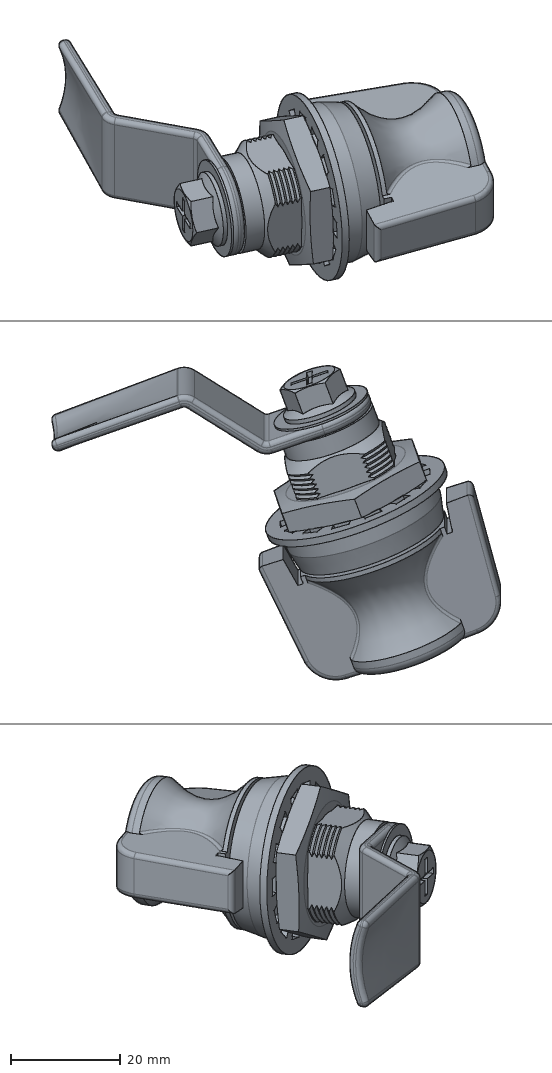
import cadquery as cq
import math


OVERALL_DEPTH = 63.0
TOLERANCE = 0.01

KNOB_TOP = 30.95
HEAD_RADIUS = 11.9
HEAD_ROUND = 1.8
HEAD_BOTTOM = 27.7
WAIST_RADIUS = 8.8
WAIST_Y = 19.85
BASE_RADIUS = 14.05
BASE_TOP = 10.35
BASE_BOTTOM = 9.45

WING_SPAN = 41.95
WING_BOTTOM = 5.3
WING_SHOULDER_X = 12.75
WING_SHOULDER_Y = 25.5
WING_SHOULDER_WIDTH = 19.1
WING_SLOT_TOP = 10.9
WING_SLOT_TOP_X = 15.1
WING_SLOT_BOTTOM_X = 15.9
WING_ROOT_HALF_THICKNESS = 6.1
WING_TIP_HALF_THICKNESS = 4.1
WING_EDGE_ROUND = 0.95
WING_JOINT_ROUND = 0.7

NECK_RADIUS = 10.55
COLLAR_TOP = 8.8
COLLAR_TOP_RADIUS = 14.1
COLLAR_SHOULDER_Y = 4.8
COLLAR_RADIUS = 15.0

GASKET_RADIUS = 17.5
GASKET_THICKNESS = 1.4
GASKET_TURN = 1.5
SLOT_COUNT = 14
SLOT_WIDTH = 3.45
SLOT_LENGTH = 2.1
SLOT_OUTER_REACH = 14.6

THREAD_RADIUS = 11.0
THREAD_DEPTH = 0.4
THREAD_PITCH = 0.95
THREAD_GROOVES = 5
BARREL_FLAT = 19.0
BARREL_CONE_Y = -10.1

SHAFT_RADIUS = 9.1
BARREL_END = BARREL_CONE_Y - (THREAD_RADIUS - SHAFT_RADIUS)

NUT_FLATS = 27.0
NUT_HEIGHT = 5.0
NUT_TURN = 35.6
NUT_BORE = 9.8
NUT_FACE_RADIUS = 11.65
NUT_CORNER_DROP = 0.6
NUT_CORNER_RADIUS = NUT_FLATS / math.sqrt(3)

CAM_TOP = -15.7
CAM_THICKNESS = 2.4
CAM_WIDTH = 2 * SHAFT_RADIUS
CAM_UPPER_BEND_X = -11.4
CAM_LOWER_BEND_X = -21.85
CAM_BOTTOM = KNOB_TOP - OVERALL_DEPTH
CAM_INNER_BEND = 1.0
CAM_BLADE_START = -23.1
CAM_TIP_X = -48.0
CAM_TIP_WIDTH = 16.8
CAM_TIP_RISE = 1.85
CAM_EDGE_ROUND = 0.95

WASHER_THICKNESS = 0.4
SCREW_FLANGE_RADIUS = 6.95
SCREW_FLANGE_RIM = 0.8
SCREW_FLANGE_CONE = 0.95
HEX_FLATS = 10.2
HEX_END = -24.6
HEX_CHAMFER_RADIUS = 4.95
HEX_CHAMFER_DROP = 0.4
CROSS_LENGTH = 7.2
CROSS_WIDTH = 1.1
CROSS_DEPTH = 1.0


def turned(points):
    """Solid of revolution about the Y axis from (radius, y) points."""
    return cq.Workplane("XY").polyline(points).close().revolve(360, (0, 0), (0, 1))


def across_axis(y):
    """Workplane square to the lock axis, facing -Y."""
    return cq.Workplane("XZ", origin=(0, y, 0))


def knob():
    round_start = KNOB_TOP - HEAD_ROUND
    slant = HEAD_ROUND * (1 - math.sqrt(0.5))
    return (
        cq.Workplane("XY")
        .moveTo(0, KNOB_TOP)
        .lineTo(HEAD_RADIUS - HEAD_ROUND, KNOB_TOP)
        .threePointArc((HEAD_RADIUS - slant, KNOB_TOP - slant), (HEAD_RADIUS, round_start))
        .lineTo(HEAD_RADIUS, HEAD_BOTTOM)
        .spline([(WAIST_RADIUS, WAIST_Y), (BASE_RADIUS, BASE_TOP)], includeCurrent=True)
        .lineTo(BASE_RADIUS, BASE_BOTTOM)
        .lineTo(0, BASE_BOTTOM)
        .close()
        .revolve(360, (0, 0), (0, 1))
    )


def wing():
    """The +X wing, thinning from the axis to its outer edge."""
    half_span = WING_SPAN / 2
    plan = (
        cq.Workplane("XY")
        .moveTo(0, KNOB_TOP)
        .lineTo(WING_SHOULDER_X, KNOB_TOP)
        .tangentArcPoint((WING_SHOULDER_WIDTH, WING_SHOULDER_Y), relative=False)
        .lineTo(half_span, WING_BOTTOM)
        .lineTo(WING_SLOT_BOTTOM_X, WING_BOTTOM)
        .lineTo(WING_SLOT_TOP_X, WING_SLOT_TOP)
        .lineTo(BASE_RADIUS, WING_SLOT_TOP)
        .lineTo(BASE_RADIUS, BASE_BOTTOM)
        .lineTo(0, BASE_BOTTOM)
        .close()
        .extrude(WING_ROOT_HALF_THICKNESS, both=True)
    )
    taper = (
        across_axis(KNOB_TOP)
        .polyline([
            (0, WING_ROOT_HALF_THICKNESS),
            (half_span, WING_TIP_HALF_THICKNESS),
            (half_span, -WING_TIP_HALF_THICKNESS),
            (0, -WING_ROOT_HALF_THICKNESS),
        ])
        .close()
        .extrude(KNOB_TOP - WING_BOTTOM)
    )
    body = plan.intersect(taper)
    rim = body.edges().filter(is_wing_rim)
    return rim.fillet(WING_EDGE_ROUND)


def is_wing_rim(edge):
    """True for the edges along the top, shoulder, outer side and outer bottom corner of a wing."""
    center = edge.Center()
    on_side = abs(center.z) > WING_TIP_HALF_THICKNESS / 2
    on_outside = center.x > WING_SHOULDER_WIDTH or center.y > WING_SHOULDER_Y
    at_bottom = center.y < WING_BOTTOM + TOLERANCE
    at_outer_corner = center.x > WING_SPAN / 2 - TOLERANCE
    return (on_side and on_outside and not at_bottom) or at_outer_corner


def collar():
    return turned([
        (0, BASE_BOTTOM),
        (NECK_RADIUS, BASE_BOTTOM),
        (NECK_RADIUS, COLLAR_TOP),
        (COLLAR_TOP_RADIUS, COLLAR_TOP),
        (COLLAR_RADIUS, COLLAR_SHOULDER_Y),
        (COLLAR_RADIUS, GASKET_THICKNESS),
        (0, GASKET_THICKNESS),
    ])


def barrel():
    """Threaded barrel with four flats; the thread is a row of V grooves beyond the nut."""
    outline = [(0, GASKET_THICKNESS), (THREAD_RADIUS, GASKET_THICKNESS)]
    groove_start = BARREL_CONE_Y + THREAD_GROOVES * THREAD_PITCH
    for groove in range(THREAD_GROOVES):
        top = groove_start - groove * THREAD_PITCH
        outline.append((THREAD_RADIUS, top))
        outline.append((THREAD_RADIUS - THREAD_DEPTH, top - THREAD_PITCH / 2))
    outline += [(THREAD_RADIUS, BARREL_CONE_Y), (SHAFT_RADIUS, BARREL_END), (0, BARREL_END)]
    flats = (
        across_axis(GASKET_THICKNESS)
        .rect(BARREL_FLAT, BARREL_FLAT)
        .extrude(GASKET_THICKNESS - BARREL_END)
    )
    return turned(outline).intersect(flats)


def shaft_and_washer():
    end = CAM_TOP - CAM_THICKNESS - WASHER_THICKNESS
    shaft = across_axis(BARREL_END).circle(SHAFT_RADIUS).extrude(BARREL_END - CAM_TOP)
    washer = across_axis(end + WASHER_THICKNESS).circle(SHAFT_RADIUS).extrude(WASHER_THICKNESS)
    return shaft.union(washer)


def screw():
    seat = CAM_TOP - CAM_THICKNESS - WASHER_THICKNESS
    rim = seat - SCREW_FLANGE_RIM
    hex_start = rim - SCREW_FLANGE_CONE
    corner = HEX_FLATS / math.sqrt(3)
    flange = turned([
        (0, seat),
        (SCREW_FLANGE_RADIUS, seat),
        (SCREW_FLANGE_RADIUS, rim),
        (HEX_FLATS / 2, hex_start),
        (0, hex_start),
    ])
    head = across_axis(seat).polygon(6, 2 * corner).extrude(seat - HEX_END)
    chamfer = turned([
        (0, seat),
        (corner, seat),
        (corner, HEX_END + HEX_CHAMFER_DROP),
        (HEX_CHAMFER_RADIUS, HEX_END),
        (0, HEX_END),
    ])
    cross_floor = across_axis(HEX_END + CROSS_DEPTH)
    cross = cross_floor.rect(CROSS_LENGTH, CROSS_WIDTH).extrude(CROSS_DEPTH)
    cross = cross.union(cross_floor.rect(CROSS_WIDTH, CROSS_LENGTH).extrude(CROSS_DEPTH))
    return flange.union(head.intersect(chamfer)).cut(cross)


def cam_strip():
    """Eye and cranked part of the cam, a strip of constant thickness."""
    slope = math.atan2(CAM_TOP - CAM_THICKNESS - CAM_BOTTOM, CAM_UPPER_BEND_X - CAM_LOWER_BEND_X)
    corner_shift = CAM_THICKNESS / 2 * math.tan(slope / 2)
    blade_top = CAM_BOTTOM + CAM_THICKNESS
    eye_bottom = CAM_TOP - CAM_THICKNESS
    upper_outside = (CAM_UPPER_BEND_X - corner_shift, CAM_TOP)
    upper_inside = (CAM_UPPER_BEND_X + corner_shift, eye_bottom)
    lower_inside = (CAM_LOWER_BEND_X - corner_shift, blade_top)
    lower_outside = (CAM_LOWER_BEND_X + corner_shift, CAM_BOTTOM)
    bends = [
        (upper_inside, CAM_INNER_BEND),
        (lower_inside, CAM_INNER_BEND),
        (upper_outside, CAM_INNER_BEND + CAM_THICKNESS),
        (lower_outside, CAM_INNER_BEND + CAM_THICKNESS),
    ]
    strip = (
        cq.Workplane("XY")
        .polyline([
            (SHAFT_RADIUS, CAM_TOP),
            upper_outside,
            lower_inside,
            (CAM_BLADE_START, blade_top),
            (CAM_BLADE_START, CAM_BOTTOM),
            lower_outside,
            upper_inside,
            (SHAFT_RADIUS, eye_bottom),
        ])
        .close()
        .extrude(CAM_WIDTH / 2, both=True)
    )
    for corner, radius in bends:
        strip = strip.edges(cq.selectors.NearestToPointSelector((*corner, 0))).fillet(radius)
    eye = across_axis(CAM_TOP).circle(CAM_WIDTH / 2).extrude(CAM_TOP - CAM_BOTTOM)
    eye = eye.union(
        across_axis(CAM_TOP)
        .center(CAM_BLADE_START / 2, 0)
        .rect(-CAM_BLADE_START, CAM_WIDTH)
        .extrude(CAM_TOP - CAM_BOTTOM)
    )
    return strip.intersect(eye)


def cam_blade():
    """Blade that goes from a flat section at the bend to an arched section at the tip."""
    top = CAM_BOTTOM + CAM_THICKNESS
    half = CAM_WIDTH / 2
    tip_half = CAM_TIP_WIDTH / 2
    root_section = (
        cq.Workplane("YZ", origin=(CAM_BLADE_START, 0, 0))
        .moveTo(CAM_BOTTOM, -half)
        .lineTo(CAM_BOTTOM, half)
        .lineTo(top, half)
        .lineTo(top, -half)
        .close()
    )
    tip_section = (
        cq.Workplane("YZ", origin=(CAM_TIP_X, 0, 0))
        .moveTo(CAM_BOTTOM, -tip_half)
        .threePointArc((CAM_BOTTOM + CAM_TIP_RISE, 0), (CAM_BOTTOM, tip_half))
        .lineTo(top, tip_half)
        .threePointArc((top + CAM_TIP_RISE, 0), (top, -tip_half))
        .close()
    )
    return cq.Workplane(cq.Solid.makeLoft([root_section.val(), tip_section.val()], True))


def is_cam_rim(edge):
    """True for the edges along the outline of the cam, false for those across its strip."""
    box = edge.BoundingBox()
    return box.xlen > TOLERANCE or box.xmax < CAM_TIP_X + TOLERANCE


def cam():
    blank = cam_strip().union(cam_blade())
    return blank.edges().filter(is_cam_rim).fillet(CAM_EDGE_ROUND)


def nut(lock):
    blank = across_axis(0).polygon(6, 2 * NUT_CORNER_RADIUS).extrude(NUT_HEIGHT)
    blank = blank.rotate((0, 0, 0), (0, -1, 0), NUT_TURN)
    envelope = turned([
        (NUT_BORE, 0),
        (NUT_FACE_RADIUS, 0),
        (NUT_CORNER_RADIUS, -NUT_CORNER_DROP),
        (NUT_CORNER_RADIUS, NUT_CORNER_DROP - NUT_HEIGHT),
        (NUT_FACE_RADIUS, -NUT_HEIGHT),
        (NUT_BORE, -NUT_HEIGHT),
    ])
    return blank.intersect(envelope).cut(lock)


def gasket(lock):
    disc = across_axis(GASKET_THICKNESS).circle(GASKET_RADIUS).extrude(GASKET_THICKNESS)
    slots = (
        across_axis(GASKET_THICKNESS)
        .polarArray(SLOT_OUTER_REACH - SLOT_LENGTH / 2, GASKET_TURN, 360, SLOT_COUNT)
        .rect(SLOT_LENGTH, SLOT_WIDTH)
        .extrude(GASKET_THICKNESS)
    )
    return disc.cut(slots).cut(lock)


def is_waist_joint(edge):
    """True for the long curved edges where a wing meets the waist of the knob."""
    center = edge.Center()
    at_waist = BASE_TOP < center.y < HEAD_BOTTOM
    return edge.geomType() == "BSPLINE" and at_waist and abs(center.x) < HEAD_RADIUS


def winged_knob():
    body = knob().union(wing()).union(wing().mirror("YZ"))
    return body.edges().filter(is_waist_joint).fillet(WING_JOINT_ROUND)


lock = winged_knob()
for piece in (collar(), barrel(), shaft_and_washer(), cam(), screw()):
    lock = lock.union(piece)
nut_body = nut(lock)
gasket_body = gasket(lock)
result = cq.Compound.makeCompound([*lock.vals(), *nut_body.vals(), *gasket_body.vals()])